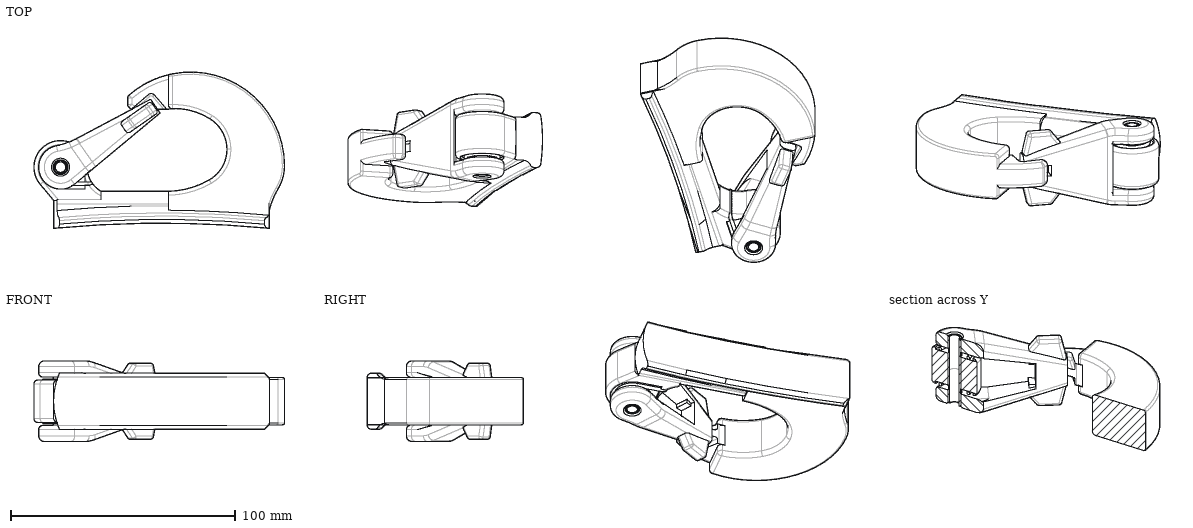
import cadquery as cq
import math


RING_X, RING_Y = 58.0, 0.6
RING_RADIUS = 41.85
PLATE_HALF = 10.6
LOOP_TOP = 26.0
LOOP_BOTTOM = -10.7
LOOP_END = (74.1, 8.0)
LOOP_UPPER = (66.6, 21.5)
LOOP_LOWER = (66.3, -5.6)
LOOP_LOWER_MIDDLE = (57.5, -9.3)
HEEL = (97.0, -9.6)
ANKLE = (92.9, -20.0)
OUTER_ROUND = 1.0
LOOP_ROUND = 1.8

NOSE_STEP_X = 48.0
NOSE_OVERLAP = 3.0
NOSE_TIP_X = 29.9
NOSE_TIP_FOOT_Y = 27.2
NOSE_HEEL_X = 31.5
NOSE_HALF = 5.6
NOSE_CORNER_ROUND = 1.2
NOSE_ROUND = 2.0
NOSE_UNDERSIDE_Y = 25.8
TONGUE_HALF = 2.0
SEAT_CORNER = (40.6, 33.6)
SEAT_START = (30.6, 25.0)
SEAT_END = (48.0, 25.0)
SEAT_ROUND = 2.0
SEAT_FLOOR_ROUND = 1.0

BASE_LEFT, BASE_RIGHT = -3.1, 93.1
BASE_END_Y = -27.3
BASE_SAG = 2.3
FLANGE_HALF = 12.5
FLANGE_HEIGHT = 4.2
FLARE_HEIGHT = 3.6
FLANGE_ROUND = 1.7
FLANGE_CORNER = 2.2
END_BOW = 2.6
BAR_HALF = 9.8
BAR_ROUND = 5.6

BOSS_RADIUS = 11.9
BOSS_HALF = 9.5
BOSS_ROUND = 1.8
BOSS_FOOT_Y = -14.8
BOSS_ROUND_END_Y = -9.0
THROAT_END_X = 18.0
SPRING_POCKET_RADIUS = 9.7
SPRING_POCKET_END_X = 10.9

PIN_RADIUS = 3.3
PIN_BORE_RADIUS = 2.3
PIN_HALF = 17.4
PIN_CHAMFER = 0.4

WIRE_RADIUS = 0.8
COIL_RADIUS = 7.3
COIL_Z = 9.2
COIL_START = math.radians(-40)
BEND_RADIUS = 1.2
BRIDGE_X = 13.4

LATCH_ANGLE = 35.0
EAR_RADIUS = 9.8
EAR_OUTER = 18.0
EAR_INNER = 10.7
EAR_ROUND = 2.6
EAR_END_U = 11.0
EAR_BEND = 15.0
BACK_SLOPE = 0.124
NECK_ROUND = 30.0
HOLE_COUNTERSINK = 0.7
LATCH_LENGTH = 50.2
TIP_HALF = 7.2
TIP_TOP_N, TIP_BOTTOM_N = 1.8, -5.7
BOSS_CLEARANCE = 0.6
WEB_THICKNESS = 3.0
WEB_EDGE_ROUND = 1.0
CHANNEL_START_U = 15.0
CHANNEL_END_U = 36.0
CHANNEL_END_HALF = 6.5
SLOT_START_U = 38.0
SLOT_HALF = 2.4
SLOT_BOTTOM_N = -1.8
GRIP_HALF = 17.0
GRIP_ROOT_HALF = 5.2
GRIP_FOOT_HALF = 12.0
GRIP_FOOT_START, GRIP_TOP_START = 33.0, 37.0
GRIP_TOP_END = 47.5
GRIP_TOP_N, GRIP_BOTTOM_N = 1.0, -5.0
GRIP_ROUND = 1.4


def slab(outline, half):
    """Extrude an XY outline evenly to both sides of the mid-plane."""
    return outline.extrude(half, both=True)


def box_between(x0, x1, y0, y1, z0, z1):
    return cq.Workplane("XY").box(x1 - x0, y1 - y0, z1 - z0, centered=False).translate((x0, y0, z0))


def ring_point(x):
    """Point on the upper half of the ring's outer circle."""
    return (x, RING_Y + math.sqrt(RING_RADIUS**2 - (x - RING_X) ** 2))


BASE_MIDDLE_X = (BASE_LEFT + BASE_RIGHT) / 2
BASE_HALF_LENGTH = (BASE_RIGHT - BASE_LEFT) / 2
BASE_RADIUS = (BASE_HALF_LENGTH**2 + BASE_SAG**2) / (2 * BASE_SAG)
BASE_TOP_Y = BASE_END_Y + BASE_SAG
BASE_CENTRE_Y = BASE_TOP_Y - BASE_RADIUS


def base_arc_point(x):
    return (x, BASE_CENTRE_Y + math.sqrt(BASE_RADIUS**2 - (x - BASE_MIDDLE_X) ** 2))


def hook_plate():
    """Thick C-shaped part, from the nose step round to the weld base."""
    diagonal = RING_RADIUS * math.sqrt(0.5)
    outline = (
        cq.Workplane("XY")
        .moveTo(NOSE_STEP_X, LOOP_TOP)
        .lineTo(*ring_point(NOSE_STEP_X))
        .threePointArc((RING_X + diagonal, RING_Y + diagonal), (RING_X + RING_RADIUS, RING_Y))
        .tangentArcPoint(HEEL, relative=False)
        .tangentArcPoint(ANKLE, relative=False)
        .lineTo(*base_arc_point(ANKLE[0]))
        .threePointArc(base_arc_point((NOSE_STEP_X + ANKLE[0]) / 2), base_arc_point(NOSE_STEP_X))
        .lineTo(NOSE_STEP_X, LOOP_BOTTOM)
        .threePointArc(LOOP_LOWER_MIDDLE, LOOP_LOWER)
        .tangentArcPoint(LOOP_END, relative=False)
        .tangentArcPoint(LOOP_UPPER, relative=False)
        .tangentArcPoint((NOSE_STEP_X, LOOP_TOP), relative=False)
        .close()
    )
    plate = slab(outline, PLATE_HALF)
    high = PLATE_HALF + 1
    step_box = cq.selectors.BoxSelector(
        (NOSE_STEP_X - 1, LOOP_TOP, -high), (NOSE_STEP_X + 1, RING_RADIUS - 2, high)
    )
    rim_box = cq.selectors.BoxSelector(
        (LOOP_END[0] + 1, ANKLE[1], -high), (RING_X + RING_RADIUS, RING_X, high)
    )
    loop_box = cq.selectors.BoxSelector(
        (NOSE_STEP_X + 1, LOOP_BOTTOM - 1, -high), (LOOP_END[0] + 1, LOOP_TOP + 1, high)
    )
    for edges, radius in ((step_box, LOOP_ROUND), (rim_box, OUTER_ROUND), (loop_box, LOOP_ROUND)):
        plate = plate.faces("|Z").edges(edges).fillet(radius)
    return plate


def nose():
    """Thin end of the hook, with a seat on both sides that leaves a tongue for the latch slot."""
    overlap_x = NOSE_STEP_X + NOSE_OVERLAP
    outline = (
        cq.Workplane("XY")
        .moveTo(*ring_point(NOSE_TIP_X))
        .threePointArc(ring_point((NOSE_TIP_X + overlap_x) / 2), ring_point(overlap_x))
        .lineTo(overlap_x, LOOP_TOP)
        .lineTo(NOSE_STEP_X, NOSE_UNDERSIDE_Y)
        .lineTo(NOSE_HEEL_X, NOSE_UNDERSIDE_Y)
        .lineTo(NOSE_TIP_X, NOSE_TIP_FOOT_Y)
        .close()
    )
    body = slab(outline, NOSE_HALF).edges("|Z and <X").fillet(NOSE_CORNER_ROUND)
    body = body.faces("|Z").edges(">Y or <X").fillet(NOSE_ROUND)
    seat = (
        cq.Workplane("XY", origin=(0, 0, TONGUE_HALF))
        .polyline([SEAT_START, SEAT_CORNER, SEAT_END])
        .close()
        .extrude(NOSE_HALF)
    )
    seat = seat.edges("|Z and >Y").fillet(SEAT_ROUND)
    seat = seat.faces("<Z").edges("not <Y").fillet(SEAT_FLOOR_ROUND)
    return body.cut(seat).cut(seat.mirror("XY"))


def base_flange():
    """Flared foot that follows the shallow bottom arc."""
    flare_top = FLANGE_HEIGHT + FLARE_HEIGHT
    flare_middle = (FLANGE_HEIGHT + 0.4 * FLARE_HEIGHT, BAR_HALF + 0.35 * (FLANGE_HALF - BAR_HALF))
    section = (
        cq.Workplane("YZ", origin=(BASE_MIDDLE_X, BASE_TOP_Y, 0))
        .moveTo(0, -FLANGE_HALF)
        .lineTo(FLANGE_HEIGHT, -FLANGE_HALF)
        .threePointArc((flare_middle[0], -flare_middle[1]), (flare_top, -BAR_HALF))
        .lineTo(flare_top, BAR_HALF)
        .threePointArc(flare_middle, (FLANGE_HEIGHT, FLANGE_HALF))
        .lineTo(0, FLANGE_HALF)
        .close()
    )
    sweep = 2 * math.degrees(math.asin(BASE_HALF_LENGTH / BASE_RADIUS)) + 2
    flange = section.revolve(sweep, (-BASE_RADIUS, 0, 0), (-BASE_RADIUS, 1, 0))
    flange = flange.rotate(
        (BASE_MIDDLE_X, BASE_CENTRE_Y, 0), (BASE_MIDDLE_X, BASE_CENTRE_Y, 1), -sweep / 2
    )
    limits = box_between(BASE_LEFT, BASE_RIGHT, 2 * BASE_END_Y, 0, -FLANGE_HALF, FLANGE_HALF)
    flange = flange.intersect(limits)
    upper_edges = cq.selectors.BoxSelector(
        (BASE_LEFT + 1, 2 * BASE_END_Y, FLANGE_HALF - 0.1), (BASE_RIGHT - 1, 0, FLANGE_HALF + 0.1)
    )
    lower_edges = cq.selectors.BoxSelector(
        (BASE_LEFT + 1, 2 * BASE_END_Y, -FLANGE_HALF - 0.1), (BASE_RIGHT - 1, 0, 0.1 - FLANGE_HALF)
    )
    return flange.edges(upper_edges + lower_edges).fillet(FLANGE_ROUND)


def base_envelope():
    """Limits of the base seen along Y: bowed left end, chamfered right corners."""
    return (
        cq.Workplane("XZ")
        .moveTo(BASE_LEFT + END_BOW, -FLANGE_HALF)
        .threePointArc((BASE_LEFT, 0), (BASE_LEFT + END_BOW, FLANGE_HALF))
        .lineTo(BASE_RIGHT - FLANGE_CORNER, FLANGE_HALF)
        .lineTo(BASE_RIGHT, FLANGE_HALF - FLANGE_CORNER)
        .lineTo(BASE_RIGHT, FLANGE_CORNER - FLANGE_HALF)
        .lineTo(BASE_RIGHT - FLANGE_CORNER, -FLANGE_HALF)
        .close()
        .extrude(-BASE_END_Y + 1)
    )


def base_bar():
    """Straight bar between the boss and the ring, rounded along the loop side."""
    bar = box_between(BASE_LEFT, NOSE_STEP_X + 1, BASE_TOP_Y, LOOP_BOTTOM, -BAR_HALF, BAR_HALF)
    return bar.edges("|X and >Y").fillet(BAR_ROUND)


def boss():
    """Rounded pivot boss, tangent to the foot line on its left side."""
    foot_distance = math.hypot(BASE_LEFT, BOSS_FOOT_Y)
    tangent_angle = math.atan2(BOSS_FOOT_Y, BASE_LEFT) - math.acos(BOSS_RADIUS / foot_distance)
    tangent_x = BOSS_RADIUS * math.cos(tangent_angle)
    tangent_y = BOSS_RADIUS * math.sin(tangent_angle)
    outline = (
        cq.Workplane("XY")
        .moveTo(tangent_x, tangent_y)
        .threePointArc((0, BOSS_RADIUS), (BOSS_RADIUS, 0))
        .tangentArcPoint((THROAT_END_X, LOOP_BOTTOM), relative=False)
        .lineTo(THROAT_END_X, BOSS_FOOT_Y)
        .lineTo(BASE_LEFT, BOSS_FOOT_Y)
        .close()
    )
    body = slab(outline, BOSS_HALF)
    high = BOSS_HALF + 1
    rim_box = cq.selectors.BoxSelector(
        (-2 * BOSS_RADIUS, BOSS_ROUND_END_Y, -high), (THROAT_END_X - 1, 2 * BOSS_RADIUS, high)
    )
    return body.faces("|Z").edges(rim_box).fillet(BOSS_ROUND)


def spring_pockets():
    """Shallow recess on each side of the boss, with a run-out below for the spring leg."""
    depth = BOSS_HALF - COIL_Z + WIRE_RADIUS
    recess = cq.Workplane("XY").circle(SPRING_POCKET_RADIUS).extrude(depth)
    run_out = box_between(0, SPRING_POCKET_END_X, -SPRING_POCKET_RADIUS, 0, 0, depth)
    upper = recess.union(run_out).translate((0, 0, COIL_Z - WIRE_RADIUS))
    return upper.union(upper.mirror("XY"))


def make_spring():
    """Double torsion spring: a coil each side, joined by legs and a bridge across the throat."""
    leg_y = -COIL_RADIUS
    start_x = COIL_RADIUS * math.cos(COIL_START)
    start_y = COIL_RADIUS * math.sin(COIL_START)
    bend_x = BRIDGE_X - BEND_RADIUS
    bend_z = COIL_Z - BEND_RADIUS
    bend_middle = BEND_RADIUS * math.sqrt(0.5)

    def coil(z, first, last):
        return cq.Edge.makeThreePointArc(
            cq.Vector(*first, z), cq.Vector(-COIL_RADIUS, 0, z), cq.Vector(*last, z)
        )

    def bend(side, first, last):
        middle = cq.Vector(bend_x + bend_middle, leg_y, side * (bend_z + bend_middle))
        return cq.Edge.makeThreePointArc(first, middle, last)

    upper_leg_end = cq.Vector(bend_x, leg_y, COIL_Z)
    bridge_top = cq.Vector(BRIDGE_X, leg_y, bend_z)
    bridge_foot = cq.Vector(BRIDGE_X, leg_y, -bend_z)
    lower_leg_end = cq.Vector(bend_x, leg_y, -COIL_Z)
    path = cq.Wire.assembleEdges(
        [
            coil(COIL_Z, (start_x, start_y), (0, leg_y)),
            cq.Edge.makeLine(cq.Vector(0, leg_y, COIL_Z), upper_leg_end),
            bend(1, upper_leg_end, bridge_top),
            cq.Edge.makeLine(bridge_top, bridge_foot),
            bend(-1, bridge_foot, lower_leg_end),
            cq.Edge.makeLine(lower_leg_end, cq.Vector(0, leg_y, -COIL_Z)),
            coil(-COIL_Z, (0, leg_y), (start_x, start_y)),
        ]
    )
    start_plane = cq.Plane(path.startPoint(), normal=path.tangentAt(0))
    return cq.Workplane(start_plane).circle(WIRE_RADIUS).sweep(cq.Workplane("XY").add(path))


def make_pin():
    """Hollow pin through the boss and both ears."""
    blank = slab(cq.Workplane("XY").circle(PIN_RADIUS), PIN_HALF).faces("|Z").edges().chamfer(PIN_CHAMFER)
    return blank.cut(slab(cq.Workplane("XY").circle(PIN_BORE_RADIUS), PIN_HALF))


def pin_hole():
    return slab(cq.Workplane("XY").circle(PIN_RADIUS), EAR_OUTER + 1)


def make_hook(spring):
    base = base_bar().union(base_flange()).intersect(base_envelope())
    hook = hook_plate().union(nose()).union(base).union(boss())
    return hook.cut(pin_hole()).cut(spring_pockets()).cut(spring)


def latch_blank():
    """Solid latch: round ears narrowing to the tip in both directions, with rounded outer edges."""
    back_rise = TIP_TOP_N + BACK_SLOPE * LATCH_LENGTH
    along = 1 + BACK_SLOPE**2
    half_b = BACK_SLOPE * back_rise
    neck_u = (half_b + math.sqrt(half_b**2 - along * (back_rise**2 - EAR_RADIUS**2))) / along
    neck_n = back_rise - BACK_SLOPE * neck_u
    tip_distance = math.hypot(LATCH_LENGTH, TIP_BOTTOM_N)
    lower_angle = math.atan2(TIP_BOTTOM_N, LATCH_LENGTH) - math.acos(EAR_RADIUS / tip_distance)
    lower_tangent = (EAR_RADIUS * math.cos(lower_angle), EAR_RADIUS * math.sin(lower_angle))
    tip_bottom = (LATCH_LENGTH, TIP_BOTTOM_N)
    tip_top = (LATCH_LENGTH, TIP_TOP_N)
    arm = cq.Workplane("XY").polyline([(0, 0), lower_tangent, tip_bottom, tip_top, (neck_u, neck_n)]).close()
    plan = slab(arm, EAR_OUTER).union(slab(cq.Workplane("XY").circle(EAR_RADIUS), EAR_OUTER))
    neck_box = cq.selectors.BoxSelector((neck_u - 1, neck_n - 1, -1), (neck_u + 1, neck_n + 1, 1))
    plan = plan.edges(neck_box).fillet(NECK_ROUND)
    width = (
        cq.Workplane("XZ")
        .polyline(
            [
                (-EAR_RADIUS, EAR_OUTER),
                (EAR_END_U, EAR_OUTER),
                (LATCH_LENGTH, TIP_HALF),
                (LATCH_LENGTH, -TIP_HALF),
                (EAR_END_U, -EAR_OUTER),
                (-EAR_RADIUS, -EAR_OUTER),
            ]
        )
        .close()
        .extrude(2 * EAR_RADIUS, both=True)
    )
    width = width.edges("|Y and (not <X) and (not >X)").fillet(EAR_BEND)
    blank = plan.intersect(width)
    outer_edges = [
        edge
        for edge in blank.edges().vals()
        if abs(edge.Center().z) > TIP_HALF - 1 and abs(edge.tangentAt(0.5).y) < 0.99
    ]
    return blank.newObject(outer_edges).fillet(EAR_ROUND)


def latch_channel():
    """Space between the ears and side walls, under the web, clear of the boss."""
    plan = (
        cq.Workplane("XZ")
        .polyline(
            [
                (-2 * EAR_RADIUS, EAR_INNER),
                (CHANNEL_START_U, EAR_INNER),
                (CHANNEL_END_U, CHANNEL_END_HALF),
                (CHANNEL_END_U, -CHANNEL_END_HALF),
                (CHANNEL_START_U, -EAR_INNER),
                (-2 * EAR_RADIUS, -EAR_INNER),
            ]
        )
        .close()
        .extrude(2 * EAR_RADIUS, both=True)
    )
    web_end_n = TIP_TOP_N + BACK_SLOPE * (LATCH_LENGTH - CHANNEL_END_U) - WEB_THICKNESS
    web_start_n = web_end_n + BACK_SLOPE * CHANNEL_END_U
    under_web = (
        cq.Workplane("XY")
        .polyline(
            [
                (0, web_start_n),
                (CHANNEL_END_U, web_end_n),
                (CHANNEL_END_U, -2 * EAR_RADIUS),
                (0, -2 * EAR_RADIUS),
            ]
        )
        .close()
    )
    clearance = slab(cq.Workplane("XY").circle(BOSS_RADIUS + BOSS_CLEARANCE), EAR_INNER)
    return slab(under_web, EAR_OUTER).intersect(plan).union(clearance)


def tongue_slot():
    return box_between(
        SLOT_START_U, LATCH_LENGTH + 1, SLOT_BOTTOM_N, EAR_RADIUS, -SLOT_HALF, SLOT_HALF
    )


def thumb_grips():
    """Raised pad on each side of the latch tip."""
    side = (
        cq.Workplane("XZ", origin=(0, GRIP_TOP_N, 0))
        .polyline(
            [
                (GRIP_FOOT_START, GRIP_ROOT_HALF),
                (GRIP_FOOT_START, GRIP_FOOT_HALF),
                (GRIP_TOP_START, GRIP_HALF),
                (GRIP_TOP_END, GRIP_HALF),
                (LATCH_LENGTH, GRIP_ROOT_HALF),
            ]
        )
        .close()
        .extrude(GRIP_TOP_N - GRIP_BOTTOM_N)
    )
    upper = side.edges(">Z").edges("|Y").fillet(GRIP_ROUND).faces(">Y or <Y").edges(">Z").fillet(GRIP_ROUND)
    return upper.union(upper.mirror("XY"))


def fillet_if_possible(body, edges, radius):
    """Round the edges, or leave the body as it is where the rounding cannot be built."""
    try:
        rounded = body.newObject(edges).fillet(radius)
    except Exception:
        return body
    return rounded if rounded.val().isValid() else body


def make_latch():
    latch = latch_blank().cut(latch_channel())
    clearance_radius = BOSS_RADIUS + BOSS_CLEARANCE
    inner_ear_edges = [
        edge
        for edge in latch.edges("%CIRCLE").vals()
        if abs(abs(edge.Center().z) - EAR_INNER) < 0.01 and abs(edge.radius() - EAR_RADIUS) < 0.01
    ]
    for radius in (2.0, 1.5):
        rounded = fillet_if_possible(latch, inner_ear_edges, radius)
        if rounded is not latch:
            latch = rounded
            break
    web_box = cq.selectors.BoxSelector(
        (0, clearance_radius / 2, -1), (clearance_radius, clearance_radius, 1)
    )
    latch = fillet_if_possible(latch, latch.edges(web_box).vals(), WEB_EDGE_ROUND)
    latch = latch.union(thumb_grips()).cut(tongue_slot())
    latch = latch.cut(pin_hole())
    sink_floor = cq.Vector(0, 0, EAR_OUTER - HOLE_COUNTERSINK)
    sink = cq.Workplane("XY").add(
        cq.Solid.makeCone(PIN_RADIUS, PIN_RADIUS + HOLE_COUNTERSINK, HOLE_COUNTERSINK, pnt=sink_floor)
    )
    latch = latch.cut(sink).cut(sink.mirror("XY"))
    return latch.rotate((0, 0, 0), (0, 0, 1), LATCH_ANGLE)


spring = make_spring()
hook = make_hook(spring)
pin = make_pin()
latch = make_latch()

result = cq.Compound.makeCompound([hook.val(), latch.val(), pin.val(), spring.val()])